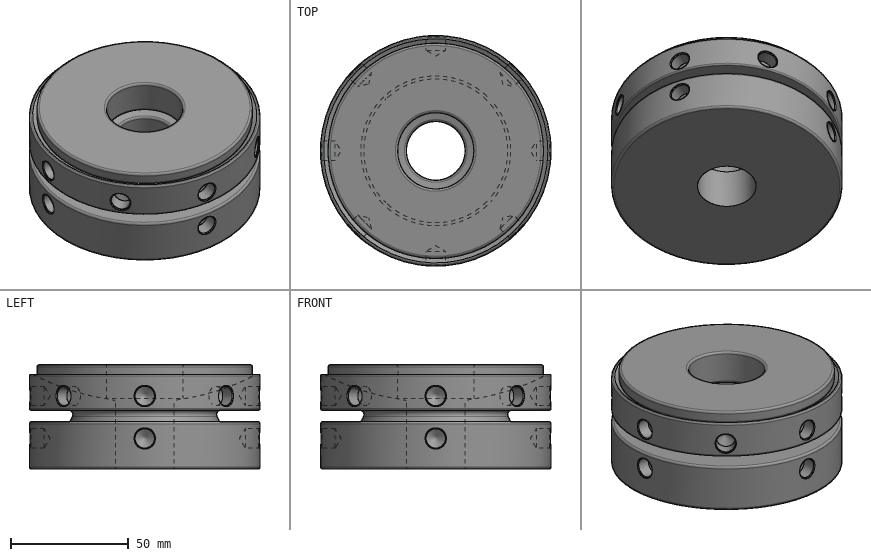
import cadquery as cq
import math

outer_radius = 49.0
base_height = 20.2
ring_bottom = 25.0
ring_top = 40.3
total_height = 44.4
bore_radius = 12.4

base_rounding = 1.0
ring_rounding = 0.7
cap_rounding = 1.0
seat_bore_rounding = 1.0

neck_foot_radius = 31.85
neck_angle = math.radians(27)
neck_fillet = 1.9

seat_lip_radius = 47.6
seat_sphere_radius = 101.9
seat_center_z = ring_top + math.sqrt(seat_sphere_radius**2 - seat_lip_radius**2)

cap_radius = 45.8
cap_bore_radius = 16.2

hole_radius = 4.1
hole_mouth_chamfer = 0.4
hole_depth = 6.3
hole_tip_length = hole_radius / math.tan(math.radians(59))
ring_hole_z = 31.1
ring_hole_count = 8
base_hole_z = 13.0
base_hole_count = 4


def seat_height(radius):
    """Height of the spherical seat at a distance from the axis."""
    return seat_center_z - math.sqrt(seat_sphere_radius**2 - radius**2)


def spanner_hole(z, angle):
    """Cutter for a blind radial hole with a drill tip and a chamfered mouth."""
    bottom = outer_radius - hole_depth
    clearance = 1.0
    mouth_radius = hole_radius + hole_mouth_chamfer
    surface_drop = outer_radius - math.sqrt(outer_radius**2 - mouth_radius**2)
    mouth = outer_radius - surface_drop
    cutter = (
        cq.Workplane("XY")
        .moveTo(bottom - hole_tip_length, 0)
        .lineTo(bottom, hole_radius)
        .lineTo(mouth - hole_mouth_chamfer, hole_radius)
        .lineTo(mouth, mouth_radius)
        .lineTo(outer_radius + clearance, mouth_radius)
        .lineTo(outer_radius + clearance, 0)
        .close()
        .revolve(360, (0, 0, 0), (1, 0, 0))
    )
    return cutter.rotate((0, 0, 0), (0, 0, 1), angle).translate((0, 0, z))


def cut_spanner_holes(body, z, count):
    """Cut evenly spaced radial holes around the body."""
    for index in range(count):
        body = body.cut(spanner_hole(z, index * 360 / count))
    return body


def make_base():
    """Flat cylindrical base with rounded outer edges and a through bore."""
    base = cq.Workplane("XY").circle(outer_radius).extrude(base_height)
    base = base.edges().fillet(base_rounding)
    base = base.cut(cq.Workplane("XY").circle(bore_radius).extrude(base_height))
    return cut_spanner_holes(base, base_hole_z, base_hole_count)


def make_ring():
    """Ring on a conical neck, with a concave spherical seat on top."""
    fillet_z = ring_bottom - neck_fillet
    tangent_z = fillet_z - neck_fillet * math.sin(neck_angle)
    tangent_radius = neck_foot_radius - (tangent_z - base_height) * math.tan(neck_angle)
    fillet_center = tangent_radius + neck_fillet * math.cos(neck_angle)
    middle_angle = (math.pi + neck_angle + math.pi / 2) / 2
    fillet_middle = (
        fillet_center + neck_fillet * math.cos(middle_angle),
        fillet_z + neck_fillet * math.sin(middle_angle),
    )
    seat_middle_radius = (seat_lip_radius + bore_radius) / 2
    ring = (
        cq.Workplane("XZ")
        .moveTo(bore_radius, base_height)
        .lineTo(neck_foot_radius, base_height)
        .lineTo(tangent_radius, tangent_z)
        .threePointArc(fillet_middle, (fillet_center, ring_bottom))
        .lineTo(outer_radius, ring_bottom)
        .lineTo(outer_radius, ring_top)
        .lineTo(seat_lip_radius, ring_top)
        .threePointArc(
            (seat_middle_radius, seat_height(seat_middle_radius)),
            (bore_radius, seat_height(bore_radius)),
        )
        .close()
        .revolve(360, (0, 0, 0), (0, 1, 0))
    )
    outer_rims = cq.selectors.RadiusNthSelector(-2)
    ring = ring.edges(outer_rims).fillet(ring_rounding)
    seat_bore_edge = cq.selectors.NearestToPointSelector((0, 0, seat_height(bore_radius)))
    ring = ring.edges("%CIRCLE").edges(seat_bore_edge).fillet(seat_bore_rounding)
    return cut_spanner_holes(ring, ring_hole_z, ring_hole_count)


def make_cap():
    """Cap with a flat top and a convex spherical underside."""
    middle_radius = (cap_radius + cap_bore_radius) / 2
    cap = (
        cq.Workplane("XZ")
        .moveTo(cap_bore_radius, seat_height(cap_bore_radius))
        .threePointArc(
            (middle_radius, seat_height(middle_radius)),
            (cap_radius, seat_height(cap_radius)),
        )
        .lineTo(cap_radius, total_height)
        .lineTo(cap_bore_radius, total_height)
        .close()
        .revolve(360, (0, 0, 0), (0, 1, 0))
    )
    cap = cap.faces(">Z").edges().fillet(cap_rounding)
    return cap.faces("<Z").edges("%CIRCLE").fillet(cap_rounding)


base = make_base()
ring = make_ring()
cap = make_cap()

result = cq.Compound.makeCompound([base.val(), ring.val(), cap.val()])